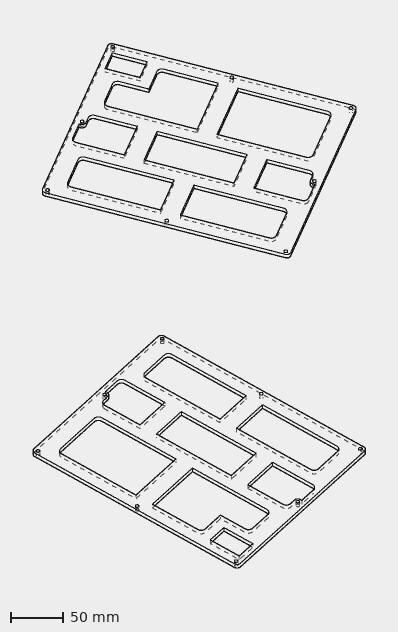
import cadquery as cq

length = 250.0
width = 200.0
thickness = 5.0
plate_corner_radius = 4.0

hole_diameter = 3.5
edge_hole_x = 120.0
edge_hole_y = 96.0
side_hole_x = 117.0
side_hole_y = -3.0

crossbar = 15.0
rib = 20.0
window_radius = 5.0
window_outer_x = 105.0
top_row_top = 85.0
top_row_height = 61.7
middle_row_height = 38.2
bottom_row_height = 40.0

top_row_bottom = top_row_top - top_row_height
middle_row_top = top_row_bottom - crossbar
middle_row_bottom = middle_row_top - middle_row_height
bottom_row_top = middle_row_bottom - crossbar
bottom_row_bottom = bottom_row_top - bottom_row_height

step_x = -70.0
step_y = 56.5
corner_window_left = -118.0
corner_window_top = 88.7
corner_window_length = 35.0
corner_window_width = 21.0

centre_window_half_length = 45.2
side_window_outer_x = 118.7
side_hole_wall = 4.0
side_window_inner_x = centre_window_half_length + rib
notch_x = side_hole_x - side_hole_wall
notch_y = side_hole_y - side_hole_wall


def prism(points):
    """Cutter through the plate with the given outline."""
    return cq.Workplane("XY").polyline(points).close().extrude(thickness)


def box_between(x_start, x_end, y_start, y_end):
    """Rectangular cutter through the plate."""
    return prism([(x_start, y_start), (x_end, y_start), (x_end, y_end), (x_start, y_end)])


def rounded_window(bottom, top):
    """Right-hand window with its two outer corners rounded."""
    window = box_between(rib / 2, window_outer_x, bottom, top)
    return window.edges("|Z and >X").fillet(window_radius)


def stepped_window():
    """Top-left window with a stepped corner; the inner corner of the step is sharp."""
    lower = box_between(-window_outer_x, -rib / 2, top_row_bottom, step_y)
    upper = box_between(step_x, -rib / 2, top_row_bottom, top_row_top)
    lower = lower.edges("|Z and <X").fillet(window_radius)
    upper = upper.edges("|Z and <X and >Y").fillet(window_radius)
    return lower.union(upper)


def notched_window():
    """Right-hand middle window, leaving a rounded lug around the side hole."""
    lower = box_between(side_window_inner_x, side_window_outer_x, middle_row_bottom, middle_row_top)
    lower = lower.edges("|Z and >X and <Y").fillet(window_radius)
    lug = box_between(notch_x, length / 2, notch_y, middle_row_top)
    lug = lug.edges("|Z and <X and <Y").fillet(side_hole_wall)
    corner = box_between(
        notch_x - window_radius, notch_x, middle_row_top - window_radius, middle_row_top
    )
    corner_round = (
        cq.Workplane("XY")
        .center(notch_x - window_radius, middle_row_top - window_radius)
        .circle(window_radius)
        .extrude(thickness)
    )
    return lower.cut(lug).cut(corner.cut(corner_round))


plate = cq.Workplane("XY").rect(length, width).extrude(thickness)
plate = plate.edges("|Z").fillet(plate_corner_radius)

plate = plate.cut(stepped_window())
plate = plate.cut(rounded_window(top_row_bottom, top_row_top))
plate = plate.cut(
    box_between(
        corner_window_left,
        corner_window_left + corner_window_length,
        corner_window_top - corner_window_width,
        corner_window_top,
    )
)

plate = plate.cut(
    box_between(
        -centre_window_half_length, centre_window_half_length, middle_row_bottom, middle_row_top
    )
)
side_window = notched_window()
plate = plate.cut(side_window).cut(side_window.mirror("YZ"))

bottom_window = rounded_window(bottom_row_bottom, bottom_row_top)
plate = plate.cut(bottom_window).cut(bottom_window.mirror("YZ"))

hole_points = [(x, y) for x in (-edge_hole_x, 0, edge_hole_x) for y in (-edge_hole_y, edge_hole_y)]
hole_points += [(-side_hole_x, side_hole_y), (side_hole_x, side_hole_y)]
holes = cq.Workplane("XY").pushPoints(hole_points).circle(hole_diameter / 2).extrude(thickness)

result = plate.cut(holes)